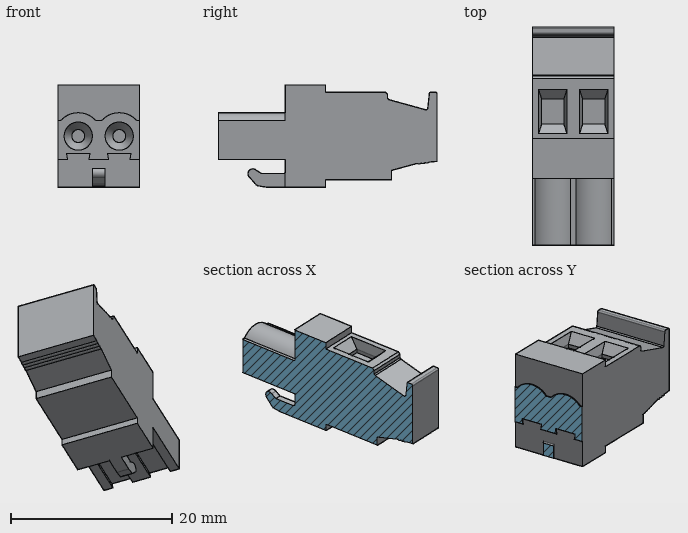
import cadquery as cq
import math


POLES = 2
PITCH = 5.08
WIDTH = POLES * PITCH
HEIGHT = 12.7
LENGTH = 27.1
POLE_X = [(i + 0.5) * PITCH for i in range(POLES)]
AXIS_Z = HEIGHT / 2
CORNER_COS = math.sqrt(0.5)

COLLAR_FRONT = 8.28
COLLAR_LENGTH = 5.0
COLLAR_REAR = COLLAR_FRONT + COLLAR_LENGTH
COLLAR_STEP = 0.91
BODY_TOP = HEIGHT - COLLAR_STEP
BODY_BOTTOM = COLLAR_STEP
TOP_DECK_REAR = 20.97
TOP_DECK_CHAMFER = 0.26
TOP_DECK_FOOT_CHAMFER = 0.16
TOP_SLOPE_FRONT_Z = 10.88
TOP_SLOPE_REAR_Y = 25.77
TOP_SLOPE_REAR_Z = 9.6
BOTTOM_DECK_REAR = 21.46
BOTTOM_SLOPE_FRONT_Z = 2.08
REAR_BOTTOM_Z = 3.2

LIP_TOP_THICKNESS = 0.97
LIP_FOOT_THICKNESS = 1.17
LIP_FOOT_Z = 9.75
LIP_RADIUS = 0.2

RIDGE_COUNT = 3
RIDGE_REAR_Y = 26.1
RIDGE_REAR_Z = 3.11
RIDGE_FRONT_Y = 24.65
RIDGE_FRONT_Z = 2.95
RIDGE_HEIGHT = 0.1

NOSE_BOTTOM_Z = 3.44
NOSE_SHOULDER_Z = 8.27
NOSE_RADIUS = 2.9
FUNNEL_MOUTH_DIAMETER = 3.5
FUNNEL_END_DIAMETER = 1.6
FUNNEL_DEPTH = 1.7
KEYWAY_TOP_WIDTH = 2.9
KEYWAY_MOUTH_WIDTH = 2.65
KEYWAY_HEIGHT = 0.72

POCKET_FRONT_Y = 13.86
POCKET_WIDTH = 3.5
POCKET_LENGTH = 5.45
POCKET_SIDE_INSET = 0.375
POCKET_END_INSET = 1.18
POCKET_TAPER_DEPTH = 1.2
POCKET_WELL_DEPTH = 0.5

LATCH_WIDTH = 1.6
LATCH_TOP_Z = 1.72
LATCH_ROOT_RADIUS = 0.2
LATCH_NECK_Y = 5.33
LATCH_HEEL_Y = 5.95
LATCH_TOE_Y = 4.83
LATCH_TOE_Z = 0.18
LATCH_KNEE_Y = 4.58
LATCH_KNEE_Z = 0.4
LATCH_TIP_RADIUS = 0.61
LATCH_TIP_Y = 4.26
LATCH_TIP_Z = 1.69
LATCH_TIP_ANGLE = math.radians(42)


def extrude_along_x(profile, width, center_x):
    """Extrude a closed YZ profile symmetrically about center_x."""
    return profile.extrude(width / 2, both=True).translate((center_x, 0, 0))


def rounded_corner(profile, corner, entry, leave, radius):
    """Draw a line and a quarter arc around a square corner.

    entry and leave are the unit directions in which the outline
    reaches and leaves the corner.
    """
    start = tuple(c - radius * e for c, e in zip(corner, entry))
    end = tuple(c + radius * d for c, d in zip(corner, leave))
    bulge = radius * (1 - CORNER_COS)
    middle = tuple(c + bulge * (d - e) for c, e, d in zip(corner, entry, leave))
    return profile.lineTo(*start).threePointArc(middle, end)


def make_housing():
    rearward = (1, 0)
    up = (0, 1)
    down = (0, -1)
    lip_front_y = LENGTH - LIP_TOP_THICKNESS
    lip_foot_y = LENGTH - LIP_FOOT_THICKNESS

    outline = (
        cq.Workplane("YZ")
        .moveTo(COLLAR_FRONT, 0)
        .lineTo(COLLAR_FRONT, HEIGHT)
        .lineTo(COLLAR_REAR, HEIGHT)
        .lineTo(COLLAR_REAR, BODY_TOP)
        .lineTo(TOP_DECK_REAR - TOP_DECK_CHAMFER, BODY_TOP)
        .lineTo(TOP_DECK_REAR, BODY_TOP - TOP_DECK_CHAMFER)
        .lineTo(TOP_DECK_REAR, TOP_SLOPE_FRONT_Z + TOP_DECK_FOOT_CHAMFER)
        .lineTo(TOP_DECK_REAR + TOP_DECK_FOOT_CHAMFER, TOP_SLOPE_FRONT_Z)
        .lineTo(TOP_SLOPE_REAR_Y, TOP_SLOPE_REAR_Z)
        .lineTo(lip_foot_y, LIP_FOOT_Z)
    )
    outline = rounded_corner(outline, (lip_front_y, BODY_TOP), up, rearward, LIP_RADIUS)
    outline = rounded_corner(outline, (LENGTH, BODY_TOP), rearward, down, LIP_RADIUS)
    outline = outline.lineTo(LENGTH, REAR_BOTTOM_Z).lineTo(RIDGE_REAR_Y, RIDGE_REAR_Z)

    ridge_step_y = (RIDGE_FRONT_Y - RIDGE_REAR_Y) / RIDGE_COUNT
    ridge_step_z = (RIDGE_FRONT_Z - RIDGE_REAR_Z) / RIDGE_COUNT
    for i in range(RIDGE_COUNT):
        crest = (
            RIDGE_REAR_Y + (i + 0.5) * ridge_step_y,
            RIDGE_REAR_Z + (i + 0.5) * ridge_step_z - RIDGE_HEIGHT,
        )
        end = (RIDGE_REAR_Y + (i + 1) * ridge_step_y, RIDGE_REAR_Z + (i + 1) * ridge_step_z)
        outline = outline.threePointArc(crest, end)

    outline = (
        outline.lineTo(BOTTOM_DECK_REAR, BOTTOM_SLOPE_FRONT_Z)
        .lineTo(BOTTOM_DECK_REAR, BODY_BOTTOM)
        .lineTo(COLLAR_REAR, BODY_BOTTOM)
        .lineTo(COLLAR_REAR, 0)
        .close()
    )
    return extrude_along_x(outline, WIDTH, WIDTH / 2)


def make_nose():
    """Plug nose with one rounded crown per pole, running into the collar."""
    slab_height = NOSE_SHOULDER_Z - NOSE_BOTTOM_Z
    nose = cq.Workplane("XY", origin=(0, 0, NOSE_BOTTOM_Z)).box(
        WIDTH, COLLAR_FRONT, slab_height, centered=False
    )

    crown_half_width = math.sqrt(NOSE_RADIUS**2 - (NOSE_SHOULDER_Z - AXIS_Z) ** 2)
    for x in POLE_X:
        crown = (
            cq.Workplane("XZ")
            .moveTo(x - crown_half_width, NOSE_SHOULDER_Z)
            .threePointArc((x, AXIS_Z + NOSE_RADIUS), (x + crown_half_width, NOSE_SHOULDER_Z))
            .close()
            .extrude(-COLLAR_FRONT)
        )
        nose = nose.union(crown)
    return nose


def make_funnel(x):
    """Conical contact opening in the plug tip, flat at its inner end."""
    cone = cq.Solid.makeCone(
        FUNNEL_MOUTH_DIAMETER / 2,
        FUNNEL_END_DIAMETER / 2,
        FUNNEL_DEPTH,
        cq.Vector(x, 0, AXIS_Z),
        cq.Vector(0, 1, 0),
    )
    return cq.Workplane(cone)


def make_keyway(x):
    """Undercut groove along the underside of the nose."""
    top_z = NOSE_BOTTOM_Z + KEYWAY_HEIGHT
    return (
        cq.Workplane("XZ")
        .moveTo(x - KEYWAY_MOUTH_WIDTH / 2, NOSE_BOTTOM_Z)
        .lineTo(x - KEYWAY_TOP_WIDTH / 2, top_z)
        .lineTo(x + KEYWAY_TOP_WIDTH / 2, top_z)
        .lineTo(x + KEYWAY_MOUTH_WIDTH / 2, NOSE_BOTTOM_Z)
        .close()
        .extrude(-COLLAR_FRONT)
    )


def make_pocket(x):
    """Screwdriver pocket: tapered entry above a straight-walled well."""
    well_width = POCKET_WIDTH - 2 * POCKET_SIDE_INSET
    well_length = POCKET_LENGTH - 2 * POCKET_END_INSET
    center_y = POCKET_FRONT_Y + POCKET_LENGTH / 2
    entry = (
        cq.Workplane("XY", origin=(x, center_y, BODY_TOP))
        .rect(POCKET_WIDTH, POCKET_LENGTH)
        .workplane(offset=-POCKET_TAPER_DEPTH)
        .rect(well_width, well_length)
        .loft(ruled=True)
    )
    well = (
        cq.Workplane("XY", origin=(x, center_y, BODY_TOP - POCKET_TAPER_DEPTH))
        .rect(well_width, well_length)
        .extrude(-POCKET_WELL_DEPTH)
    )
    return entry.union(well)


def make_latch():
    """Latch arm below the nose, ending in an upturned round tip."""
    normal_y = LATCH_TIP_RADIUS * math.sin(LATCH_TIP_ANGLE)
    normal_z = LATCH_TIP_RADIUS * math.cos(LATCH_TIP_ANGLE)
    root_mid = LATCH_ROOT_RADIUS * (1 - CORNER_COS)
    outline = (
        cq.Workplane("YZ")
        .moveTo(COLLAR_FRONT, 0)
        .lineTo(LATCH_HEEL_Y, 0)
        .lineTo(LATCH_TOE_Y, LATCH_TOE_Z)
        .lineTo(LATCH_KNEE_Y, LATCH_KNEE_Z)
        .lineTo(LATCH_TIP_Y - normal_y, LATCH_TIP_Z - normal_z)
        .threePointArc(
            (LATCH_TIP_Y - normal_z, LATCH_TIP_Z + normal_y),
            (LATCH_TIP_Y + normal_y, LATCH_TIP_Z + normal_z),
        )
        .lineTo(LATCH_NECK_Y, LATCH_TOP_Z)
        .lineTo(COLLAR_FRONT - LATCH_ROOT_RADIUS, LATCH_TOP_Z)
        .threePointArc(
            (COLLAR_FRONT - root_mid, LATCH_TOP_Z + root_mid),
            (COLLAR_FRONT, LATCH_TOP_Z + LATCH_ROOT_RADIUS),
        )
        .close()
    )
    return extrude_along_x(outline, LATCH_WIDTH, WIDTH / 2)


result = make_housing().union(make_nose()).union(make_latch())
for pole_x in POLE_X:
    result = result.cut(make_funnel(pole_x))
    result = result.cut(make_keyway(pole_x))
    result = result.cut(make_pocket(pole_x))